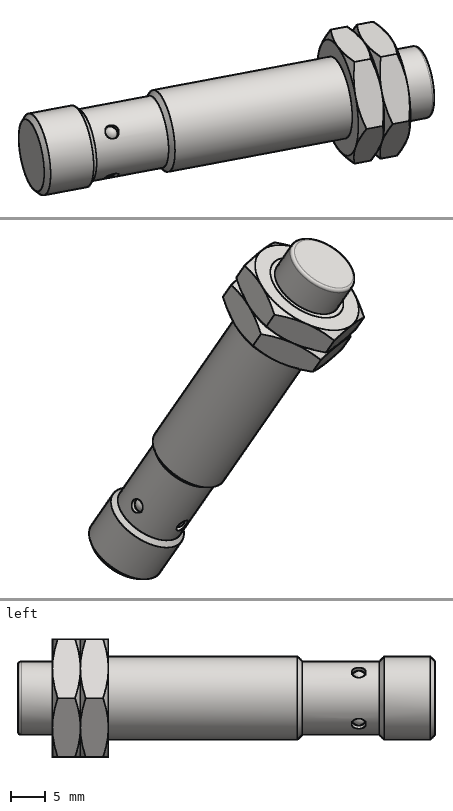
import cadquery as cq
import math

total_length = 60.0
sensing_face_y = total_length / 2

barrel_radius = 6.0
neck_radius = 5.3
step_bevel = barrel_radius - neck_radius
cap_length = 5.0
cap_edge_fillet = 0.5
barrel_end = 40.9
head_start = 51.95

window_count = 4
window_station = 49.0
window_radius = 1.0
window_depth = 0.85
window_dome_height = 0.7
first_window_angle = 45.0

nut_count = 2
nut_sides = 6
nut_across_flats = 17.0
nut_thickness = 4.0
nut_bevel_angle = 30.0


def revolve_about_y(profile):
    """Turn (radius, y) points into a solid of revolution about the Y axis."""
    return cq.Workplane("XY").polyline(profile).close().revolve(360, (0, 0, 0), (0, 1, 0))


def make_turned_body():
    steps = [
        (0, 0),
        (neck_radius, 0),
        (neck_radius, cap_length),
        (barrel_radius, cap_length),
        (barrel_radius, barrel_end - step_bevel),
        (neck_radius, barrel_end),
        (neck_radius, head_start),
        (barrel_radius, head_start + step_bevel),
        (barrel_radius, total_length - step_bevel),
        (neck_radius, total_length),
        (0, total_length),
    ]
    body = revolve_about_y([(radius, sensing_face_y - station) for radius, station in steps])
    return body.faces(">Y").edges().fillet(cap_edge_fillet)


def make_window_cutter(angle):
    """Round radial recess whose floor rises in a shallow dome."""
    rim = neck_radius - window_depth
    dome_top = rim + window_dome_height
    dome_radius = (window_radius**2 + window_dome_height**2) / (2 * window_dome_height)
    profile = (
        cq.Workplane("XZ")
        .moveTo(0, dome_top)
        .radiusArc((window_radius, rim), dome_radius)
        .lineTo(window_radius, barrel_radius)
        .lineTo(0, barrel_radius)
        .close()
    )
    cutter = profile.revolve(360, (0, 0, 0), (0, 1, 0))
    cutter = cutter.translate((0, sensing_face_y - window_station, 0))
    return cutter.rotate((0, 0, 0), (0, 1, 0), angle)


def make_sensor():
    sensor = make_turned_body()
    for index in range(window_count):
        angle = first_window_angle + index * 360 / window_count
        sensor = sensor.cut(make_window_cutter(angle))
    return sensor


def make_nut(start_station):
    """Hex nut with corners on the X axis, bevelled at both faces and bored to fit the barrel."""
    back_y = sensing_face_y - start_station
    front_y = back_y - nut_thickness
    corner_radius = nut_across_flats / 2 / math.cos(math.pi / nut_sides)
    face_radius = nut_across_flats / 2
    bevel_length = (corner_radius - face_radius) * math.tan(math.radians(nut_bevel_angle))

    hexagon = cq.Workplane("XZ", origin=(0, back_y, 0)).polygon(nut_sides, 2 * corner_radius).extrude(nut_thickness)
    bevelled_ring = revolve_about_y([
        (barrel_radius, back_y),
        (face_radius, back_y),
        (corner_radius, back_y - bevel_length),
        (corner_radius, front_y + bevel_length),
        (face_radius, front_y),
        (barrel_radius, front_y),
    ])
    return hexagon.intersect(bevelled_ring)


sensor = make_sensor()
nuts = [make_nut(cap_length + index * nut_thickness) for index in range(nut_count)]

result = cq.Compound.makeCompound([sensor.val(), *[nut.val() for nut in nuts]])